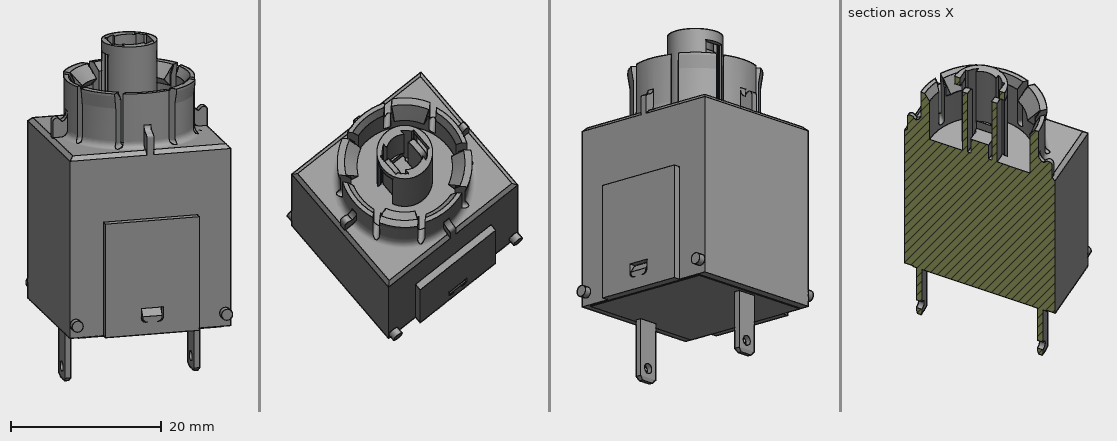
import cadquery as cq
import math

total_height = 46.15
overall_width = 22.2

housing_x = 20.2
housing_y = overall_width
housing_bottom = 8.55
housing_top = 33.55
housing_bevel = 0.55
foot_thickness = 0.15
foot_x = 19.65
foot_y = 19.65

side_reach = (overall_width - housing_x) / 2
pad_width = 12.95
pad_height = 15.7
pin_diameter = 1.5
pin_height = 1.85
pin_inset = 0.025
latch_width = 3.05
latch_bottom = 1.7
latch_height = 1.95
latch_side_gap = 0.2
latch_top_gap = 0.1
latch_corner = 0.65
latch_slope_height = 1.05
latch_slope_depth = 0.75

collar_height = 7.55
collar_outer_r = 8.68
collar_inner_r = 14.7 / 2
collar_mouth_r = 8.08
collar_mouth_depth = 1.15
collar_base_fillet = 0.9
collar_floor = 0.6
slot_width = 0.9
slot_bottom = 0.05
slot_offset = 3.0

head_outer_r = 8.95
head_lip = 0.35
head_depth = 2.1
head_half_angle = 30
hook_top_r = 8.0
hook_tip_r = 6.3
hook_slope_depth = 1.75
hook_half_angle = 18

rib_width = 0.95
side_rib_height = 2.25
end_rib_height = 2.68
end_rib_reach = 10.65
end_rib_notch_r = 9.4
end_rib_root_height = 3.5
rib_round = 0.5
rib_root_size = 0.9
rib_root_radius = 1.2

tower_diameter = 7.4
tower_bore_diameter = 6.0
neck_diameter = 4.9
neck_half_depth = 1.48
neck_floor = 36.9
pocket_width = 4.3
pocket_floor = 35.55
window_width = 3.05
throat_width = 3.25
window_inner_y = 1.35
window_outer_y = 2.85
window_lintel = 1.48

blade_width = 2.85
blade_thickness = 0.85
blade_y = 2.15
blade_drop = 2.4
blade_round = 0.85
terminal_width = 2.95
terminal_y = 8.9
terminal_hole = 1.35
terminal_hole_height = 1.8
terminal_tip_height = 0.5
terminal_tip_width = 1.95
terminal_tip_thickness = 0.55

collar_top = housing_top + collar_height
floor_z = housing_top - collar_floor


def block(x_size, y_size, z_low, z_high):
    """Box centred on X and Y between two heights."""
    return cq.Workplane("XY").workplane(offset=z_low).rect(x_size, y_size).extrude(z_high - z_low)


def cylinder(diameter, z_low, z_high):
    """Upright cylinder on the Z axis between two heights."""
    return cq.Workplane("XY").workplane(offset=z_low).circle(diameter / 2).extrude(z_high - z_low)


def make_housing():
    """Bevelled box with a thin foot and a round well inside the collar."""
    housing = block(housing_x, housing_y, housing_bottom, housing_top)
    housing = housing.faces(">Z").chamfer(housing_bevel)
    foot = block(foot_x, foot_y, housing_bottom - foot_thickness, housing_bottom)
    well = cylinder(2 * collar_inner_r, floor_z, housing_top)
    return housing.union(foot).cut(well)


def make_side_pads():
    """Pads and round pins that reach out of both X sides."""
    pads = block(overall_width, pad_width, housing_bottom, housing_bottom + pad_height)
    pin_y = (housing_y - pin_diameter) / 2 - pin_inset
    pins = (
        cq.Workplane("YZ")
        .pushPoints([(side * pin_y, housing_bottom + pin_height) for side in (-1, 1)])
        .circle(pin_diameter / 2)
        .extrude(overall_width / 2, both=True)
    )
    return pads.union(pins)


def latch_block(width, height):
    """Block at the -X pad face with rounded lower corners, as deep as the pad is thick."""
    return (
        cq.Workplane("YZ")
        .workplane(offset=-overall_width / 2)
        .center(0, housing_bottom + latch_bottom + height / 2)
        .rect(width, height)
        .extrude(side_reach)
        .edges("|X and <Z")
        .fillet(latch_corner)
    )


def make_latch_recess():
    """Void around the latch in the -X pad: a narrow gap and a slope cut off the latch top."""
    window = latch_block(latch_width, latch_height)
    latch = latch_block(latch_width - 2 * latch_side_gap, latch_height - latch_top_gap)
    face_x = -overall_width / 2
    latch_top = housing_bottom + latch_bottom + latch_height - latch_top_gap
    slope = (
        cq.Workplane("XZ")
        .moveTo(face_x, latch_top)
        .lineTo(face_x + latch_slope_depth, latch_top)
        .lineTo(face_x, latch_top - latch_slope_height)
        .close()
        .extrude(latch_width / 2, both=True)
    )
    return window.cut(latch.cut(slope))


def make_collar():
    """Ring with a conical mouth and a filleted foot."""
    return (
        cq.Workplane("XZ")
        .moveTo(collar_outer_r + collar_base_fillet, housing_top)
        .radiusArc((collar_outer_r, housing_top + collar_base_fillet), collar_base_fillet)
        .lineTo(collar_outer_r, collar_top)
        .lineTo(collar_mouth_r, collar_top)
        .lineTo(collar_inner_r, collar_top - collar_mouth_depth)
        .lineTo(collar_inner_r, housing_top)
        .close()
        .revolve(360, (0, 0, 0), (0, 1, 0))
    )


def revolve_sector(points, half_angle):
    """Revolve an (r, z) outline over a sector centred on the +X direction."""
    return (
        cq.Workplane("XZ")
        .polyline(points)
        .close()
        .revolve(2 * half_angle, (0, 0, 0), (0, 1, 0))
        .rotate((0, 0, 0), (0, 0, 1), -half_angle)
    )


def make_finger_head():
    """Head of one diagonal finger, pointing along +X: outer flare and inner hook."""
    half_width = slot_offset - slot_width / 2
    flare = revolve_sector(
        [
            (hook_top_r, collar_top),
            (head_outer_r, collar_top),
            (head_outer_r, collar_top - head_lip),
            (collar_outer_r, collar_top - head_depth),
            (hook_top_r, collar_top - head_depth),
        ],
        head_half_angle,
    )
    finger_space = block(2 * overall_width, 2 * half_width, 0, total_height)
    hook_tip_z = collar_top - hook_slope_depth
    hook_root_z = hook_tip_z - (collar_inner_r - hook_tip_r)
    hook = revolve_sector(
        [
            (hook_top_r, collar_top),
            (hook_tip_r, hook_tip_z),
            (collar_inner_r, hook_root_z),
            (hook_top_r, hook_root_z),
        ],
        hook_half_angle,
    )
    return flare.intersect(finger_space).union(hook)


def make_slots():
    """Pairs of slots parallel to each diagonal that part the collar into eight fingers."""
    radius = slot_width / 2
    axis_z = housing_top + slot_bottom + radius
    outline = (
        cq.Workplane("YZ")
        .moveTo(radius, collar_top)
        .lineTo(radius, axis_z)
        .threePointArc((0, axis_z - radius), (-radius, axis_z))
        .lineTo(-radius, collar_top)
        .close()
    )
    round_slot = outline.extrude(overall_width, both=True)
    slots = cq.Workplane("XY")
    for angle in (45, 135):
        for side in (-1, 1):
            slot = round_slot.translate((0, side * slot_offset, 0))
            slots = slots.union(slot.rotate((0, 0, 0), (0, 0, 1), angle))
    return slots


def make_snap_collar():
    """Slotted collar with a head on each diagonal finger."""
    collar = make_collar().cut(make_slots())
    head = make_finger_head()
    for angle in (45, 135, 225, 315):
        collar = collar.union(head.rotate((0, 0, 0), (0, 0, 1), angle))
    return collar


def extrude_rib(outline):
    """Rib of constant width from an outline in the XZ plane."""
    return outline.close().extrude(rib_width / 2, both=True)


def make_ribs():
    """Two ribs along X, flush with the housing sides, and two notched ribs along Y."""
    inner = (collar_inner_r + collar_outer_r) / 2
    rib_bottom = housing_top - housing_bevel
    side_top = housing_top + side_rib_height
    side_end = housing_x / 2
    side_rib = extrude_rib(
        cq.Workplane("XZ")
        .moveTo(inner, rib_bottom)
        .lineTo(side_end, rib_bottom)
        .lineTo(side_end, side_top - rib_round)
        .radiusArc((side_end - rib_round, side_top), -rib_round)
        .radiusArc((collar_outer_r, side_top + rib_root_size), rib_root_radius)
        .lineTo(inner, side_top + rib_root_size)
    )
    end_top = housing_top + end_rib_height
    bump_r = end_rib_reach - rib_round
    bump_z = end_top - rib_round
    slope_offset = rib_round * math.sin(math.radians(45))
    notch_z = bump_z + slope_offset - (bump_r - slope_offset - end_rib_notch_r)
    root_z = housing_top + end_rib_root_height
    end_rib = extrude_rib(
        cq.Workplane("XZ")
        .moveTo(inner, rib_bottom)
        .lineTo(end_rib_reach, rib_bottom)
        .lineTo(end_rib_reach, bump_z)
        .threePointArc((bump_r, end_top), (bump_r - slope_offset, bump_z + slope_offset))
        .lineTo(end_rib_notch_r, notch_z)
        .radiusArc((collar_outer_r, root_z), rib_root_radius)
        .lineTo(inner, root_z)
    ).rotate((0, 0, 0), (0, 0, 1), 90)
    ribs = side_rib.union(end_rib)
    return ribs.union(ribs.rotate((0, 0, 0), (0, 0, 1), 180))


def make_tower():
    """Hollow tower with a stepped bore and a window on both Y sides."""
    tower = cylinder(tower_diameter, floor_z, total_height)
    bore = cylinder(tower_bore_diameter, floor_z, total_height)
    bore = bore.cut(block(tower_diameter, 2 * neck_half_depth, floor_z, total_height))
    bore = bore.intersect(block(tower_diameter, 2 * window_outer_y, floor_z, total_height))
    bore = bore.union(cylinder(neck_diameter, neck_floor, total_height))
    pocket = block(pocket_width, 2 * neck_half_depth, pocket_floor, neck_floor)
    tower = tower.cut(bore).cut(pocket)
    lintel_z = total_height - window_lintel
    window_depth = tower_diameter / 2
    throat_depth = window_outer_y - window_inner_y
    for side in (-1, 1):
        window = block(window_width, window_depth, floor_z, lintel_z)
        window = window.translate((0, side * (window_inner_y + window_depth / 2), 0))
        throat = block(throat_width, throat_depth, floor_z, total_height)
        throat = throat.translate((0, side * (window_inner_y + throat_depth / 2), 0))
        tower = tower.cut(window).cut(throat)
    return tower


def make_blades():
    """Pair of round-cornered contact blades standing in the tower windows."""
    blade = block(blade_width, blade_thickness, floor_z, total_height - blade_drop)
    blade = blade.edges("|Y and >Z").fillet(blade_round)
    return blade.translate((0, blade_y, 0)).union(blade.translate((0, -blade_y, 0)))


def make_terminals():
    """Pair of flat terminals with a tapered tip and a cross hole."""
    strip = block(terminal_width, blade_thickness, terminal_tip_height, housing_bottom)
    tip = (
        cq.Workplane("XY")
        .rect(terminal_tip_width, terminal_tip_thickness)
        .workplane(offset=terminal_tip_height)
        .rect(terminal_width, blade_thickness)
        .loft()
    )
    hole = (
        cq.Workplane("XZ")
        .center(0, terminal_hole_height)
        .circle(terminal_hole / 2)
        .extrude(blade_thickness, both=True)
    )
    terminal = strip.union(tip).cut(hole)
    return terminal.translate((0, terminal_y, 0)).union(terminal.translate((0, -terminal_y, 0)))


result = make_housing().union(make_side_pads())
latch_recess = make_latch_recess()
result = result.cut(latch_recess).cut(latch_recess.mirror("YZ"))
for feature in (make_snap_collar(), make_ribs(), make_tower(), make_blades(), make_terminals()):
    result = result.union(feature)